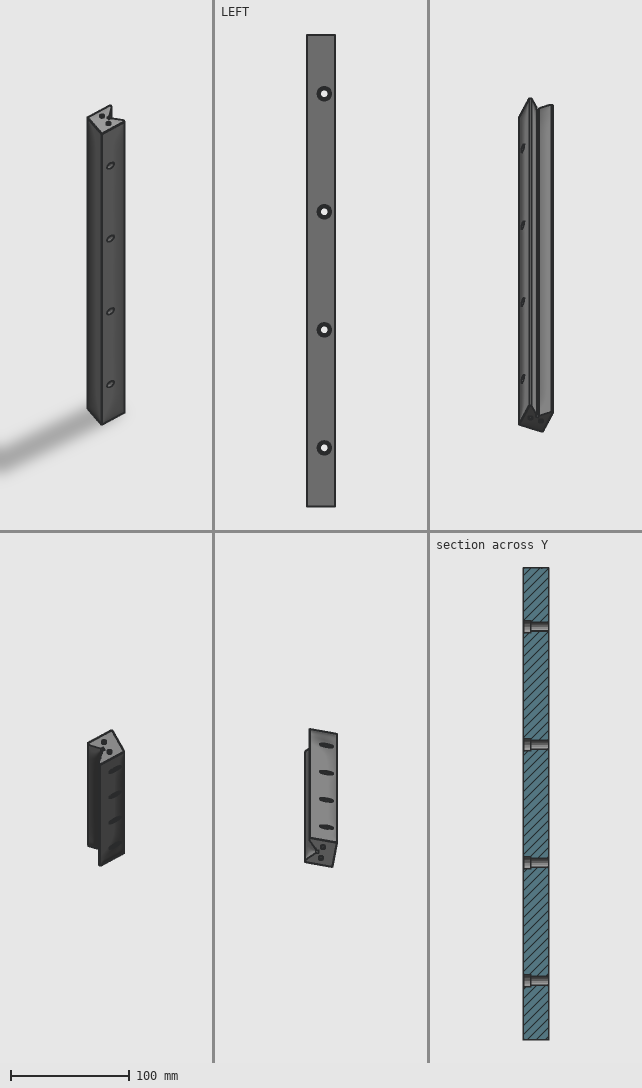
import cadquery as cq

length = 400.0
thickness = 22.0
width = 24.0
edge_chamfer = 0.5

lip_width = 2.0
relief_width = 2.5
relief_depth = 10.0

hole_count = 4
hole_pitch = length / hole_count
hole_from_back = 9.0
hole_diameter = 7.0
counterbore_diameter = 10.0
counterbore_depth = 6.5

end_hole_spacing = 9.5
end_hole_from_back = 11.0
end_hole_diameter = 2.5
end_hole_depth = 10.0

mouth_bevel = 1.0

half_thickness = thickness / 2
cut_overlap = 4.0


def make_body():
    """Bar with its back at Y = 0 and every outer edge chamfered."""
    bar = cq.Workplane("XY").box(thickness, width, length, centered=(True, False, False))
    return bar.edges().chamfer(edge_chamfer)


def make_groove():
    """90 degree V groove open to +Y, joined with the relief slot at its root."""
    v_depth = half_thickness - lip_width
    half_mouth = v_depth + cut_overlap
    v_groove = (
        cq.Workplane("XY")
        .moveTo(0, width - v_depth)
        .lineTo(half_mouth, width + cut_overlap)
        .lineTo(-half_mouth, width + cut_overlap)
        .close()
        .extrude(length)
    )
    relief = (
        cq.Workplane("XY")
        .center(0, width - relief_depth / 2)
        .rect(relief_width, relief_depth)
        .extrude(length)
    )
    return v_groove.union(relief)


def make_bore(diameter, depth):
    """Round cutter going down from the origin, flared at the top by the mouth bevel."""
    radius = diameter / 2
    return (
        cq.Workplane("XZ")
        .lineTo(radius + mouth_bevel, 0)
        .lineTo(radius, -mouth_bevel)
        .lineTo(radius, -depth)
        .lineTo(0, -depth)
        .close()
        .revolve(360, (0, 0, 0), (0, 1, 0))
    )


def drill_mounting_holes(body):
    """Evenly spaced through holes, counterbored from the -X side."""
    through = cq.Workplane("XY").circle(hole_diameter / 2).extrude(-thickness)
    cutter = make_bore(counterbore_diameter, counterbore_depth).union(through)
    cutter = cutter.rotate((0, 0, 0), (0, 1, 0), -90)
    for index in range(hole_count):
        height = hole_pitch * (index + 0.5)
        body = body.cut(cutter.translate((-half_thickness, hole_from_back, height)))
    return body


def drill_end_holes(body):
    """Pair of blind holes in each end, mirrored about the middle of the length."""
    bore = make_bore(end_hole_diameter, end_hole_depth)
    for side in (-1, 1):
        top_cutter = bore.translate((side * end_hole_spacing / 2, end_hole_from_back, length))
        bottom_cutter = top_cutter.mirror("XY", (0, 0, length / 2))
        body = body.cut(top_cutter).cut(bottom_cutter)
    return body


rail = make_body().cut(make_groove())
rail = drill_mounting_holes(rail)
result = drill_end_holes(rail)